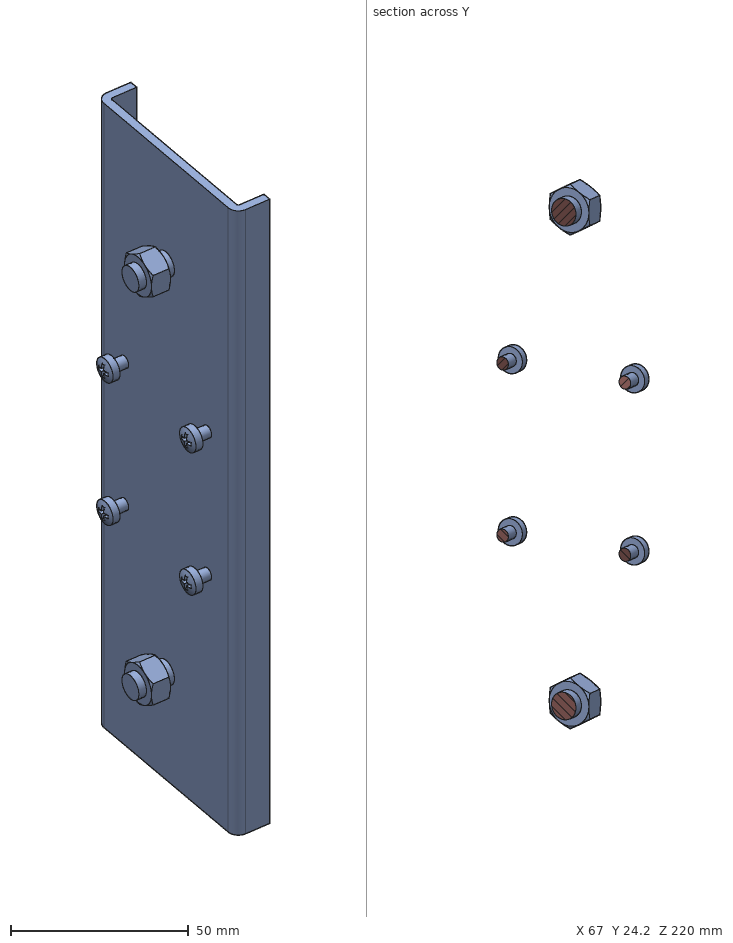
import cadquery as cq
import math

length = 220.0
width = 67.0
flange_depth = 11.9
thickness = 2.9
bend_outer_radius = 3.5
bend_inner_radius = bend_outer_radius - thickness

stud_diameter = 8.1
stud_length = 12.3
stud_half_pitch = 72.0
nut_across_flats = 13.0
nut_across_corners = nut_across_flats / math.cos(math.radians(30))
nut_height = 6.5
nut_gap = 3.0
nut_chamfer_angle = 30.0

screw_half_pitch_x = 20.0
screw_half_pitch_z = 25.0
shank_diameter = 4.0
shank_length = 7.7
shank_protrusion = 0.5
head_diameter = 8.0
head_height = 3.3
head_dome_height = 0.9
recess_span = 4.6
recess_width = 1.0
recess_depth = 1.8

head_standoff = shank_length - thickness - shank_protrusion

stud_places = [(0, z) for z in (-stud_half_pitch, stud_half_pitch)]
screw_places = [
    (x, z)
    for x in (-screw_half_pitch_x, screw_half_pitch_x)
    for z in (-screw_half_pitch_z, screw_half_pitch_z)
]


def outward_plane(distance):
    """XZ plane facing -Y, at a distance in front of the web's outer face."""
    return cq.Workplane("XZ", origin=(0, -distance, 0))


def make_channel():
    """U-shaped sheet with rounded bends and a close-fitting hole for each screw."""
    outside = (
        cq.Workplane("XY")
        .box(width, flange_depth, length, centered=(True, False, True))
        .edges("|Z and <Y")
        .fillet(bend_outer_radius)
    )
    inside = (
        cq.Workplane("XY", origin=(0, thickness, 0))
        .box(width - 2 * thickness, flange_depth, length, centered=(True, False, True))
        .edges("|Z and <Y")
        .fillet(bend_inner_radius)
    )
    screw_holes = (
        outward_plane(-thickness)
        .pushPoints(screw_places)
        .circle(shank_diameter / 2)
        .extrude(thickness)
    )
    return outside.cut(inside).cut(screw_holes).solids()


def make_stud():
    """Plain round stud standing on the web's outer face."""
    return outward_plane(0).circle(stud_diameter / 2).extrude(stud_length)


def make_nut():
    """Hex nut with corners toward +Z and -Z, chamfered at both ends, bored to fit the stud."""
    hexagon = (
        outward_plane(nut_gap)
        .transformed(rotate=(0, 0, 90))
        .polygon(6, nut_across_corners)
        .extrude(nut_height)
    )
    corner_depth = (nut_across_corners - nut_across_flats) / 2
    chamfer_drop = corner_depth * math.tan(math.radians(nut_chamfer_angle))
    turned_blank = (
        outward_plane(nut_gap)
        .circle(nut_across_corners / 2)
        .extrude(nut_height)
        .edges("%CIRCLE")
        .chamfer(chamfer_drop, corner_depth)
    )
    bore = outward_plane(nut_gap).circle(stud_diameter / 2).extrude(nut_height)
    return hexagon.intersect(turned_blank).cut(bore).solids()


def make_screw():
    """Pan-head screw with a domed crown and a cross recess."""
    shank = outward_plane(head_standoff - shank_length).circle(shank_diameter / 2).extrude(shank_length)
    head_radius = head_diameter / 2
    rim_y = -(head_standoff + head_height - head_dome_height)
    crown_y = -(head_standoff + head_height)
    dome_radius = (head_radius**2 + head_dome_height**2) / (2 * head_dome_height)
    dome_centre_y = crown_y + dome_radius
    half_angle = math.asin(head_radius / dome_radius) / 2
    dome_midpoint = (
        dome_radius * math.sin(half_angle),
        dome_centre_y - dome_radius * math.cos(half_angle),
    )
    head = (
        cq.Workplane("XY")
        .moveTo(0, -head_standoff)
        .lineTo(head_radius, -head_standoff)
        .lineTo(head_radius, rim_y)
        .threePointArc(dome_midpoint, (0, crown_y))
        .close()
        .revolve(360, (0, 0, 0), (0, 1, 0))
    )
    recess_floor = outward_plane(head_standoff + head_height - recess_depth)
    recess = (
        recess_floor.rect(recess_span, recess_width)
        .extrude(recess_depth)
        .union(recess_floor.rect(recess_width, recess_span).extrude(recess_depth))
    )
    return shank.union(head).cut(recess).solids()


def place_copies(body, places):
    """One separate solid of the body at each (x, z) place on the web."""
    return [body.translate((x, 0, z)).val() for x, z in places]


channel = make_channel()
studs = place_copies(make_stud(), stud_places)
nuts = place_copies(make_nut(), stud_places)
screws = place_copies(make_screw(), screw_places)

result = cq.Compound.makeCompound([channel.val(), *studs, *nuts, *screws])